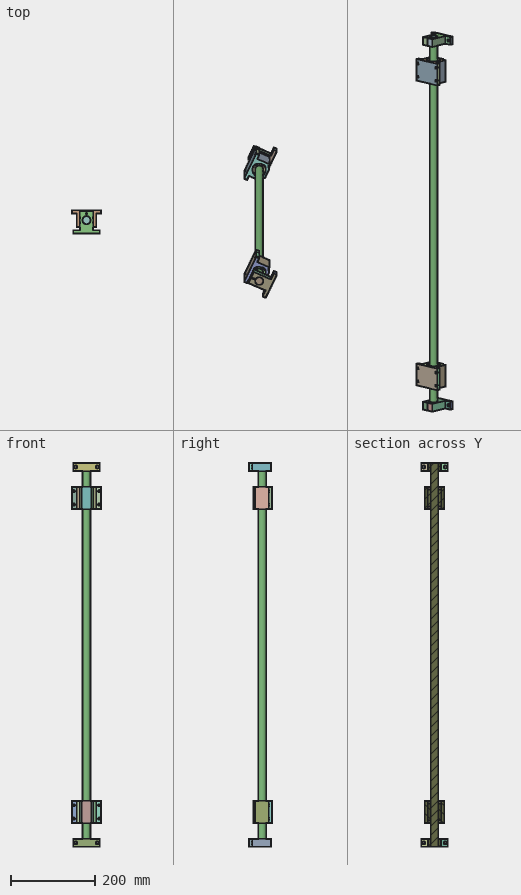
import cadquery as cq

rod_length = 914.0
rod_diameter = 19.0

support_thickness = 19.0
support_base_width = 64.0
support_base_depth = 8.0
support_base_y = -32.0
support_stem_width = 31.0
support_top_y = 21.0
clamp_slit_width = 2.3
support_hole_diameter = 6.0
support_hole_spacing = 51.0

block_length = 53.0
block_end_offset = 83.0
flange_width = 69.5
flange_depth = 8.0
flange_back_y = 24.0
body_width = 48.0
body_front_y = -16.5
rib_width = 24.0
rib_front_y = -21.0
block_hole_diameter = 5.0
block_hole_spacing_x = 60.0
block_hole_spacing_z = 32.0

drill_reach = 46.0

bushing_diameter = 32.0
bushing_length = 41.0


def prism(outline, length):
    """Extrude a closed XY outline by length, centred on Z = 0."""
    return outline.extrude(length / 2, both=True)


def y_holes(points, diameter):
    """Through-hole cutters along Y at (x, z) points."""
    return (
        cq.Workplane("XZ").pushPoints(points)
        .circle(diameter / 2).extrude(drill_reach, both=True)
    )


def make_rod():
    return cq.Workplane("XY").circle(rod_diameter / 2).extrude(rod_length)


def make_support():
    base_top_y = support_base_y + support_base_depth
    half_base = support_base_width / 2
    half_stem = support_stem_width / 2
    outline = cq.Workplane("XY").polyline([
        (-half_base, support_base_y),
        (half_base, support_base_y),
        (half_base, base_top_y),
        (half_stem, base_top_y),
        (half_stem, support_top_y),
        (-half_stem, support_top_y),
        (-half_stem, base_top_y),
        (-half_base, base_top_y),
    ]).close()
    support = prism(outline, support_thickness)

    bore = prism(cq.Workplane("XY").circle(rod_diameter / 2), support_thickness)
    slit = prism(
        cq.Workplane("XY").center(0, support_top_y / 2).rect(clamp_slit_width, support_top_y),
        support_thickness,
    )
    hole_x = support_hole_spacing / 2
    mounting_holes = y_holes([(-hole_x, 0), (hole_x, 0)], support_hole_diameter)
    return support.cut(bore).cut(slit).cut(mounting_holes)


def make_block():
    flange_front_y = flange_back_y - flange_depth
    half_flange = flange_width / 2
    half_body = body_width / 2
    half_rib = rib_width / 2
    rib_height = body_front_y - rib_front_y
    half_rib_root = half_rib + rib_height
    outline = (
        cq.Workplane("XY")
        .moveTo(0, flange_back_y)
        .lineTo(half_flange, flange_back_y)
        .lineTo(half_flange, flange_front_y)
        .lineTo(half_body, flange_front_y)
        .lineTo(half_body, body_front_y)
        .lineTo(half_rib_root, body_front_y)
        .lineTo(half_rib, rib_front_y)
        .lineTo(0, rib_front_y)
        .mirrorY()
    )
    block = prism(outline, block_length)

    bore = prism(cq.Workplane("XY").circle(bushing_diameter / 2), block_length)
    hole_x = block_hole_spacing_x / 2
    hole_z = block_hole_spacing_z / 2
    corners = [(x, z) for x in (-hole_x, hole_x) for z in (-hole_z, hole_z)]
    return block.cut(bore).cut(y_holes(corners, block_hole_diameter))


def make_bushing():
    ring = cq.Workplane("XY").circle(bushing_diameter / 2).circle(rod_diameter / 2)
    return prism(ring, bushing_length)


rod = make_rod().val()

support_centres = [support_thickness / 2, rod_length - support_thickness / 2]
supports = [make_support().translate((0, 0, z)).val() for z in support_centres]

block_centres = [block_end_offset, rod_length - block_end_offset]
blocks = [make_block().translate((0, 0, z)).val() for z in block_centres]
bushings = [make_bushing().translate((0, 0, z)).val() for z in block_centres]

result = cq.Compound.makeCompound([rod, *supports, *blocks, *bushings])